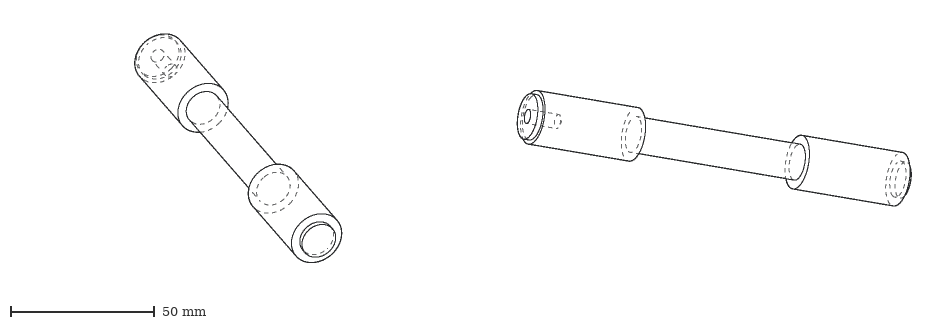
import cadquery as cq
import math

total_length = 146.0
grip_diameter = 19.0
grip_length = 39.1
rod_diameter = 12.7
collar_diameter = 16.0
end_length = 2.0

hole_diameter = 5.0
hole_depth = 11.7
drill_point_angle = 118.0

left_end = -total_length / 2
right_grip_start = total_length / 2 - end_length - grip_length


def cylinder(start, length, diameter):
    """Solid cylinder along +X, starting at the given X position."""
    return cq.Workplane("YZ", origin=(start, 0, 0)).circle(diameter / 2).extrude(length)


def drilled_hole():
    """Blind hole from the collar face with a conical drill point."""
    radius = hole_diameter / 2
    point_length = radius / math.tan(math.radians(drill_point_angle / 2))
    hole_end = left_end + hole_depth
    return (
        cq.Workplane("XY")
        .moveTo(left_end, 0)
        .lineTo(left_end, radius)
        .lineTo(hole_end, radius)
        .lineTo(hole_end + point_length, 0)
        .close()
        .revolve(360, (0, 0, 0), (1, 0, 0))
    )


rod = cylinder(left_end, total_length, rod_diameter)
collar = cylinder(left_end, end_length, collar_diameter)
left_grip = cylinder(left_end + end_length, grip_length, grip_diameter)
right_grip = cylinder(right_grip_start, grip_length, grip_diameter)

result = rod.union(collar).union(left_grip).union(right_grip).cut(drilled_hole())